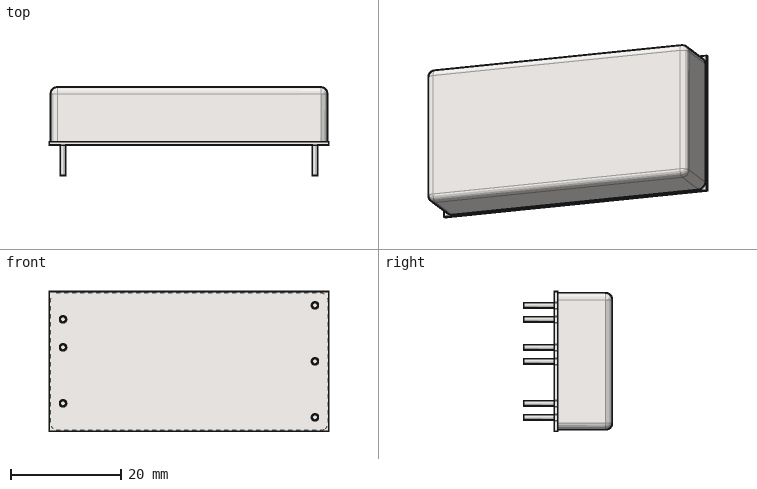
import cadquery as cq

plate_length = 50.8
plate_height = 25.4
plate_thickness = 0.65

case_margin = 0.25
case_depth = 9.9
case_radius = 1.25

pin_diameter = 1.0
pin_length = 5.55
clearance_diameter = 1.25
grid_pitch = 2.55
pin_column_x = 9 * grid_pitch
left_pin_rows = (3, 1, -3)
right_pin_rows = (4, 0, -4)
pin_centers = [(-pin_column_x, row * grid_pitch) for row in left_pin_rows]
pin_centers += [(pin_column_x, row * grid_pitch) for row in right_pin_rows]


def make_plate():
    """Flat plate with its pin side on Y = 0 and a clearance hole for each pin."""
    plate = cq.Workplane("XY").box(
        plate_length, plate_thickness, plate_height, centered=(True, False, True)
    )
    holes = (
        cq.Workplane("XZ")
        .pushPoints(pin_centers)
        .circle(clearance_diameter / 2)
        .extrude(-plate_thickness)
    )
    return plate.cut(holes)


def make_case():
    """Box standing on the plate, rounded on every edge away from the plate."""
    return (
        cq.Workplane("XY")
        .box(
            plate_length - 2 * case_margin,
            case_depth,
            plate_height - 2 * case_margin,
            centered=(True, False, True),
        )
        .edges("|Y or >Y")
        .fillet(case_radius)
        .translate((0, plate_thickness, 0))
    )


def make_pins():
    """Two columns of round pins running from the case toward -Y."""
    return (
        cq.Workplane("XZ", origin=(0, plate_thickness, 0))
        .pushPoints(pin_centers)
        .circle(pin_diameter / 2)
        .extrude(plate_thickness + pin_length)
    )


result = make_plate().union(make_case()).union(make_pins())